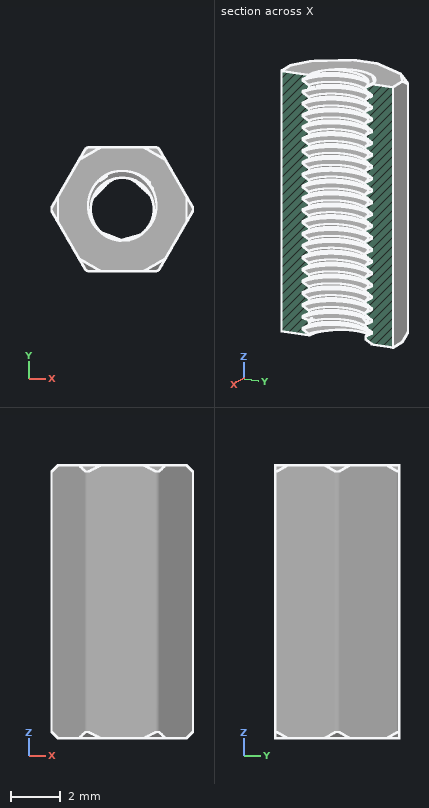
import cadquery as cq
import math

length = 11
across_flats = 5.0
edge_radius = 0.22
corner_chamfer = 0.26

minor_radius = 2.53 / 2
major_radius = 3.09 / 2
turns = 22
pitch = length / turns
root_flat = pitch / 10
flank_half_angle = math.radians(30)
overrun_turns = 1
bore_overlap = 0.03

corner_count = 6
corner_radius = across_flats / 2 / math.cos(math.pi / corner_count)
rounded_corner_radius = corner_radius - edge_radius * (1 / math.cos(math.pi / corner_count) - 1)


def hex_body():
    body = cq.Workplane("XY").polygon(corner_count, 2 * corner_radius).extrude(length)
    return body.edges("|Z").fillet(edge_radius)


def corner_cutter():
    """Triangular prism taking a flat 45 degree chamfer off the top of the +X corner."""
    cut_outline = [
        (rounded_corner_radius - corner_chamfer, length),
        (rounded_corner_radius + corner_chamfer, length),
        (rounded_corner_radius + corner_chamfer, length - 2 * corner_chamfer),
    ]
    return cq.Workplane("XZ").polyline(cut_outline).close().extrude(across_flats / 2, both=True)


def thread_groove():
    """V groove with a narrow flat root, centred on +Y at both end faces."""
    overrun = overrun_turns * pitch
    inner_radius = minor_radius - bore_overlap
    half_root = root_flat / 2
    half_mouth = half_root + (major_radius - inner_radius) * math.tan(flank_half_angle)
    section = [
        (inner_radius, -half_mouth),
        (major_radius, -half_root),
        (major_radius, half_root),
        (inner_radius, half_mouth),
    ]
    helix_height = length + 2 * overrun
    helices = [
        cq.Wire.makeHelix(pitch, helix_height, radius).translate(cq.Vector(0, 0, offset))
        for radius, offset in section
    ]
    faces = [
        cq.Face.makeRuledSurface(helices[i - 1], helices[i])
        for i in range(len(helices))
    ]
    for cap_height in (0, helix_height):
        cap_points = [cq.Vector(radius, 0, cap_height + offset) for radius, offset in section]
        faces.append(cq.Face.makeFromWires(cq.Wire.makePolygon(cap_points, close=True)))
    groove = cq.Workplane(obj=cq.Solid.makeSolid(cq.Shell.makeShell(faces)))
    return groove.rotate((0, 0, 0), (0, 0, 1), 90).translate((0, 0, -overrun))


body = hex_body()

top_cutter = corner_cutter()
bottom_cutter = top_cutter.mirror("XY", (0, 0, length / 2))
for corner in range(corner_count):
    angle = corner * 360 / corner_count
    for cutter in (top_cutter, bottom_cutter):
        body = body.cut(cutter.rotate((0, 0, 0), (0, 0, 1), angle))

bore = cq.Workplane("XY").circle(minor_radius).extrude(length)
result = body.cut(thread_groove()).cut(bore)